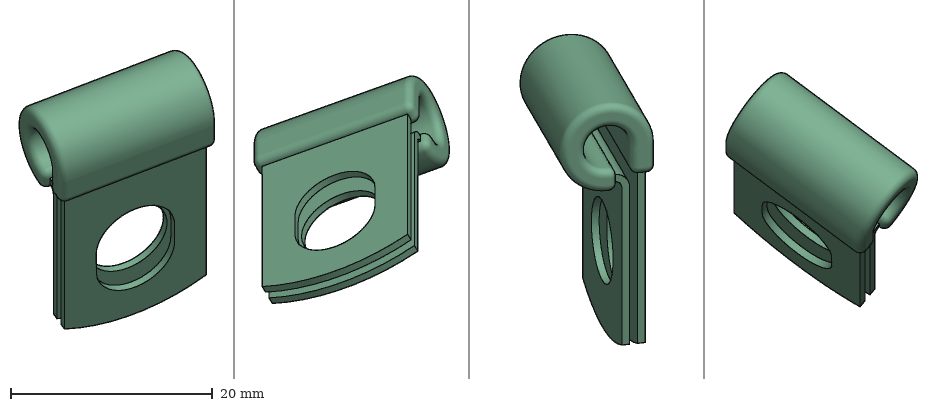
import cadquery as cq
import math

overall_height = 28.5
loop_radius = 4.775
wall = 0.8
cushion_length = 17.47
upper_straight = 2.4
lower_straight = 0.09
leg_gap = 0.8
bend_inner_radius = 0.8
hole_diameter = 8.75
hole_drop = 14.25
slot_straight = 2.5
tip_rise = 1.68

strap_outer_radius = loop_radius - wall
strap_inner_radius = strap_outer_radius - wall
bore_radius = strap_inner_radius - wall
strap_width = cushion_length - 2 * wall
leg_bottom = loop_radius - overall_height
bent_leg_outside = strap_inner_radius - leg_gap
bend_outer_radius = bend_inner_radius + wall
bend_start = bent_leg_outside - bend_outer_radius
bend_centre_z = -strap_inner_radius - bend_outer_radius
diagonal = math.sqrt(0.5)


def centred_extrusion(profile, width):
    """Extrude an XZ profile symmetrically about the Y = 0 plane."""
    return profile.extrude(width / 2, both=True)


def make_cushion():
    """Rounded jacket around the three-quarter loop."""
    end_z = -upper_straight - wall
    end_x = lower_straight + wall
    outline = (
        cq.Workplane("XZ")
        .moveTo(loop_radius, end_z)
        .lineTo(loop_radius, 0)
        .threePointArc((-loop_radius * diagonal, loop_radius * diagonal), (0, -loop_radius))
        .lineTo(end_x, -loop_radius)
        .lineTo(end_x, -bore_radius)
        .lineTo(0, -bore_radius)
        .threePointArc((-bore_radius * diagonal, bore_radius * diagonal), (bore_radius, 0))
        .lineTo(bore_radius, end_z)
        .close()
    )
    body = centred_extrusion(outline, cushion_length)
    end_corners = [(loop_radius, end_z), (bore_radius, end_z), (end_x, -loop_radius), (end_x, -bore_radius)]
    across_ends = body.edges("|Y").filter(
        lambda edge: any(
            math.dist((edge.Center().x, edge.Center().z), corner) < wall / 2 for corner in end_corners
        )
    )
    return body.faces("<Y or >Y").edges().add(across_ends).fillet(wall)


def make_strap():
    """Looped strip with one straight leg and one leg bent down from the loop bottom."""
    bend_inner = bend_inner_radius * diagonal
    bend_outer = bend_outer_radius * diagonal
    bent_leg_inside = bent_leg_outside - wall
    outline = (
        cq.Workplane("XZ")
        .moveTo(strap_outer_radius, leg_bottom)
        .lineTo(strap_outer_radius, 0)
        .threePointArc(
            (-strap_outer_radius * diagonal, strap_outer_radius * diagonal), (0, -strap_outer_radius)
        )
        .lineTo(bend_start, -strap_outer_radius)
        .threePointArc(
            (bend_start + bend_inner, bend_centre_z + bend_inner), (bent_leg_inside, bend_centre_z)
        )
        .lineTo(bent_leg_inside, leg_bottom)
        .lineTo(bent_leg_outside, leg_bottom)
        .lineTo(bent_leg_outside, bend_centre_z)
        .threePointArc(
            (bend_start + bend_outer, bend_centre_z + bend_outer), (bend_start, -strap_inner_radius)
        )
        .lineTo(0, -strap_inner_radius)
        .threePointArc(
            (-strap_inner_radius * diagonal, strap_inner_radius * diagonal), (strap_inner_radius, 0)
        )
        .lineTo(strap_inner_radius, leg_bottom)
        .close()
    )
    return centred_extrusion(outline, strap_width)


def make_leg_envelope():
    """Side outline of the strap: straight sides and curved bottom edge."""
    half_width = strap_width / 2
    corner_z = leg_bottom + tip_rise
    return (
        cq.Workplane("YZ")
        .moveTo(-half_width, loop_radius)
        .lineTo(-half_width, corner_z)
        .threePointArc((0, leg_bottom), (half_width, corner_z))
        .lineTo(half_width, loop_radius)
        .close()
        .extrude(loop_radius, both=True)
    )


def make_mounting_openings():
    """Cutters for the round hole in the bent leg and the vertical slot in the straight leg."""
    gap_middle = (bent_leg_outside + strap_inner_radius) / 2
    centred_plane = cq.Workplane("YZ", origin=(gap_middle, 0, -hole_drop))
    hole = centred_plane.circle(hole_diameter / 2).extrude(-loop_radius)
    slot = centred_plane.slot2D(hole_diameter + slot_straight, hole_diameter, 90).extrude(loop_radius)
    return hole.union(slot)


strap = make_strap().intersect(make_leg_envelope()).cut(make_mounting_openings())
result = make_cushion().union(strap)